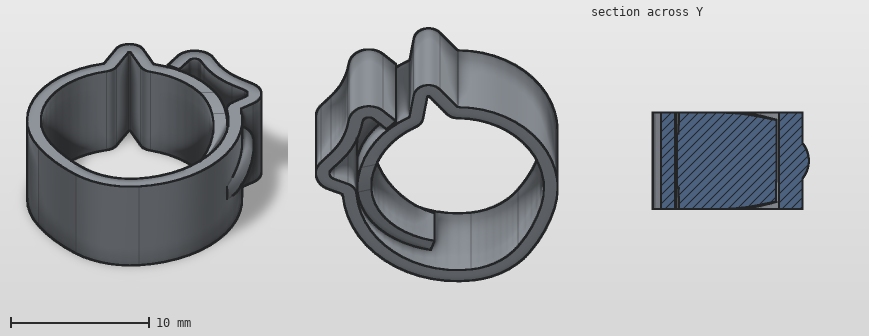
import cadquery as cq
import math

width = 7.0
thickness = 1.0
gap = 0.09
loop_bore_radius = 6.25
loop_radius = loop_bore_radius + thickness / 2
wrap_radius = loop_radius + thickness + gap
loop_outer = loop_radius + thickness / 2
foot_inner_bend = 0.05

tail = [(loop_radius, 135.5)]
tooth = [(-0.6, 52), (0, 1.93), (0.58, 132), (0, 1.98), (-0.6, 50.5)]
loop = [(loop_radius, 104)]
spread = [(11.75, 20.5), (5.45, 47.5)]
wrap = [(wrap_radius, 93.6)]
hook = [
    (-(thickness / 2 + foot_inner_bend), 62.3),
    (0, 1.09),
    (1.03, 107.3),
    (0, 1.1),
    (-5.74, 29.8),
    (0, 0.6),
    (0.96, 123.2),
    (0, 1.33),
]

taper_heading = -30
taper_angle = 13
taper_blend = 10
taper_start = -3.55

crown_radius = 2.5
foot_rib_centre = (-2.47, -0.55)
foot_rib_reach = 10.82
foot_rib_end = 31
tail_rib_centre = (-1.37, -0.5)
tail_rib_reach = 8.14


def advance(state, radius, amount):
    """Mid-line position and heading after moving along a bend or straight."""
    x, y, heading = state
    if radius == 0:
        return x + amount * math.cos(heading), y + amount * math.sin(heading), heading
    turned = heading + math.copysign(math.radians(amount), radius)
    x += radius * (math.sin(turned) - math.sin(heading))
    y -= radius * (math.cos(turned) - math.cos(heading))
    return x, y, turned


def beside(state, offset):
    """Point at a distance to the left of the mid-line."""
    x, y, heading = state
    return x - offset * math.sin(heading), y + offset * math.cos(heading)


def add_piece(outline, radius, middle, end, offset):
    """Extend an outline along one bend or straight, at a distance from the mid-line."""
    if radius == 0:
        return outline.lineTo(*beside(end, offset))
    return outline.threePointArc(beside(middle, offset), beside(end, offset))


def walk(start, moves):
    """States at the joints and halfway along every move."""
    joints = [start]
    middles = []
    for radius, amount in moves:
        middles.append(advance(joints[-1], radius, amount / 2))
        joints.append(advance(joints[-1], radius, amount))
    return joints, middles


def make_strip(joints, middles, moves):
    """Flat strip on edge: along its left face to the hook tip, back along its right face."""
    half = thickness / 2
    outline = cq.Workplane("XY").moveTo(*beside(joints[0], half))
    for i, (radius, _) in enumerate(moves):
        outline = add_piece(outline, radius, middles[i], joints[i + 1], half)
    outline = outline.lineTo(*beside(joints[-1], -half))
    for i, (radius, _) in reversed(list(enumerate(moves))):
        outline = add_piece(outline, radius, middles[i], joints[i], -half)
    return outline.close().extrude(width / 2, both=True)


def make_taper_cutter():
    """Material above the sloping top edge of the tail, within the loop's upper half."""
    angle = math.radians(taper_angle)
    edge = width / 2
    blend_length = taper_blend * math.sin(angle)
    blend_drop = taper_blend * (1 - math.cos(angle))
    half_length = taper_blend * math.sin(angle / 2)
    half_drop = taper_blend * (1 - math.cos(angle / 2))
    reach = 2 * loop_outer
    drop = blend_drop + (reach - blend_length) * math.tan(angle)
    wedge = (
        cq.Workplane("XZ")
        .moveTo(taper_start, edge)
        .threePointArc((taper_start + half_length, edge - half_drop),
                       (taper_start + blend_length, edge - blend_drop))
        .lineTo(taper_start + reach, edge - drop)
        .lineTo(taper_start + reach, edge)
        .close()
        .extrude(reach, both=True)
        .rotate((0, 0, 0), (0, 0, 1), taper_heading)
    )
    inside = cq.Workplane("XY").circle(loop_outer + gap / 2).extrude(width / 2, both=True)
    upper_half = cq.Workplane("XY").box(2 * reach, reach, width, centered=(True, False, True))
    return wedge.intersect(inside).intersect(upper_half)


def make_rib(centre, reach, region, base_radius):
    """Ring of round section, kept inside a region and outside the strip's mid-line."""
    ring = cq.Workplane(cq.Solid.makeTorus(
        reach - crown_radius, crown_radius, cq.Vector(*centre, 0), cq.Vector(0, 0, 1)))
    window = cq.Workplane("XY").polyline(region).close().extrude(width / 2, both=True)
    core = cq.Workplane("XY").circle(base_radius).extrude(width / 2, both=True)
    return ring.intersect(window.cut(core))


moves = tail + tooth + loop + spread + wrap + hook
joints, middles = walk((loop_radius, 0, math.pi / 2), moves)

taper_cutter = make_taper_cutter()
strip = make_strip(joints, middles, moves)
strip = strip.cut(taper_cutter).cut(taper_cutter.mirror("XY"))

hook_start = len(moves) - len(hook)
leg_foot = beside(joints[hook_start + 1], 0)
leg_top = beside(joints[hook_start + 2], 0)
knee = beside(joints[-2], 0)
tip_corner = beside(joints[-1], thickness / 2)
far = 2 * loop_outer
far_corner = (far, far * math.tan(math.radians(foot_rib_end)))

foot_region = [(0, 0), far_corner, (far, far), leg_top, leg_foot]
foot_rib = make_rib(foot_rib_centre, foot_rib_reach, foot_region, wrap_radius)
tail_region = [(0, 0), leg_foot, leg_top, knee, tip_corner]
tail_rib = make_rib(tail_rib_centre, tail_rib_reach, tail_region, loop_radius)

result = strip.union(foot_rib).union(tail_rib)